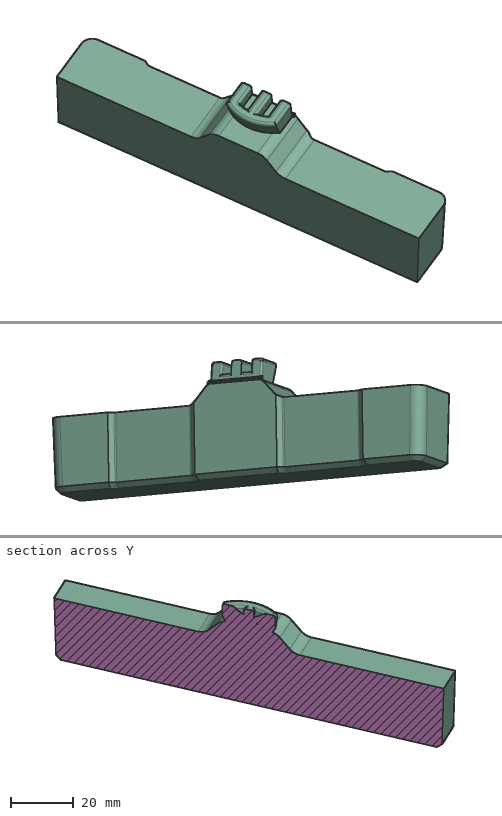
import cadquery as cq

length = 133.6
half_length = length / 2
body_top = 24.3
body_depth = 20.0
bottom_chamfer = 1.7
end_taper = 0.7
back_taper = 1.1
corner_radius = 4.0

hump_height = 6.7
hump_top = body_top + hump_height
hump_half_width = 9.2
hump_foot = 15.4
hump_radius = 4.7

recess_depth = 1.2
recess_inner = 14.7
recess_outer = 45.5
recess_ramp = 1.9
recess_fillet = 1.1

height = 37.8
knob_half_width = 9.15
knob_front = 5.1
knob_bow = 3.1
knob_back = 18.5
knob_front_slope = 0.38
knob_back_slope = 0.12
knob_root = 1.3
knob_round = 1.0
back_corner_round = 0.7

slot_depth = 4.3
slot_width = 3.5
rib_width = 3.6
slot_clearance = 0.3
floor_round = 0.8
slot_front = 9.1

foot_back = 20.2
foot_half_width = 9.6
foot_height = 0.8
foot_drop = 0.5
foot_length = 1.2


def back_at(z):
    """Y position of the tapered back at a given height."""
    return body_depth - back_taper * (hump_top - z) / hump_top


def make_body():
    front_profile = [
        (-half_length + end_taper, 0),
        (half_length - end_taper, 0),
        (half_length, body_top),
        (hump_foot, body_top),
        (hump_half_width, hump_top),
        (-hump_half_width, hump_top),
        (-hump_foot, body_top),
        (-half_length, body_top),
    ]
    body = cq.Workplane("XZ").polyline(front_profile).close().extrude(-body_depth)
    hump_edges = cq.selectors.BoxSelector(
        (-hump_foot - 1.3, -1.3, body_top - 1.3),
        (hump_foot + 1.3, body_depth + 1.3, hump_top + 1.3),
    )
    body = body.edges("|Y").edges(hump_edges).fillet(hump_radius)
    side_profile = [(0, 0), (back_at(0), 0), (back_at(hump_top), hump_top), (0, hump_top)]
    side_prism = (
        cq.Workplane("YZ").polyline(side_profile).close().extrude(half_length, both=True)
    )
    body = body.intersect(side_prism)
    for side in (-1, 1):
        corner = cq.selectors.NearestToPointSelector(
            (side * half_length, back_at(body_top / 2), body_top / 2)
        )
        body = body.edges(corner).fillet(corner_radius)
    return body


def recess_section(workplane, back):
    """Outline of a recess cut forward from the given back position."""
    floor = back - recess_depth
    return workplane.polyline([
        (recess_inner, back),
        (recess_inner + recess_ramp, floor),
        (recess_outer - recess_ramp, floor),
        (recess_outer, back),
    ]).close()


def make_recess():
    lower = recess_section(cq.Workplane("XY"), back_at(0))
    sections = recess_section(lower.workplane(offset=hump_top), back_at(hump_top))
    recess = sections.loft(ruled=True)
    floor_edges = cq.selectors.BoxSelector(
        (0, 0, hump_top * 0.4),
        (length, back_at(hump_top / 2) - recess_depth / 2, hump_top * 0.6),
    )
    return recess.edges(floor_edges).fillet(recess_fillet)


def bowed_section(workplane, half_width, front, bow, back):
    """Rectangle with its front side bowed forward."""
    return (
        workplane.moveTo(-half_width, back)
        .lineTo(-half_width, front + bow)
        .threePointArc((0, front), (half_width, front + bow))
        .lineTo(half_width, back)
        .close()
    )


def leaning_prism(half_width, front, bow, drop):
    """Block from the knob top down by drop, with a bowed front and back that lean backward."""
    lower = bowed_section(
        cq.Workplane("XY").workplane(offset=height - drop),
        half_width,
        front + knob_front_slope * drop,
        bow,
        knob_back + knob_back_slope * drop,
    )
    top_plane = lower.workplane(offset=drop)
    return bowed_section(top_plane, half_width, front, bow, knob_back).loft(ruled=True)


def make_knob():
    drop = height - hump_top + knob_root
    knob = leaning_prism(knob_half_width, knob_front, knob_bow, drop)
    knob = round_top_edges(knob, knob_half_width + 0.1)

    slot_center = (rib_width + slot_width) / 2
    slots_half_width = slot_center + slot_width / 2
    slots_bow = knob_bow * (slots_half_width / knob_half_width) ** 2
    slots = leaning_prism(slots_half_width, slot_front, slots_bow, slot_depth)
    rib = cq.Workplane("XY").box(rib_width, 4 * body_depth, 4 * height)
    knob = knob.cut(slots.cut(rib))
    knob = round_top_edges(knob, slots_half_width + 0.1)

    floor_back = knob_back + knob_back_slope * slot_depth
    for side in (-1, 1):
        floor_edge = cq.selectors.NearestToPointSelector(
            (side * slot_center, floor_back, height - slot_depth)
        )
        knob = knob.edges(floor_edge).fillet(floor_round)

    middle_back = knob_back + knob_back_slope * drop / 2
    for side in (-1, 1):
        corner = cq.selectors.NearestToPointSelector(
            (side * knob_half_width, middle_back, height - drop / 2)
        )
        knob = knob.edges(corner).fillet(back_corner_round)
    return knob


def round_top_edges(knob, reach):
    """Round the top edges centered within reach of the middle, except at the back."""
    area = cq.selectors.BoxSelector(
        (-reach, 0, height - 0.1), (reach, knob_back - 0.1, height + 0.1)
    )
    if reach < knob_half_width:
        area = area - cq.selectors.BoxSelector(
            (-reach, 0, height - 0.1), (reach, slot_front - slot_clearance, height + 0.1)
        )
    return knob.edges(area).fillet(knob_round)


def make_foot():
    profile = [
        (foot_back, hump_top - foot_drop),
        (foot_back, hump_top),
        (foot_back - foot_length, hump_top + foot_height),
        (foot_back - foot_length, hump_top - foot_drop),
    ]
    return cq.Workplane("YZ").polyline(profile).close().extrude(foot_half_width, both=True)


recess = make_recess()
body = make_body().cut(recess).cut(recess.mirror("YZ"))
body = body.faces("<Z").edges().chamfer(bottom_chamfer)
result = body.union(make_knob()).union(make_foot())